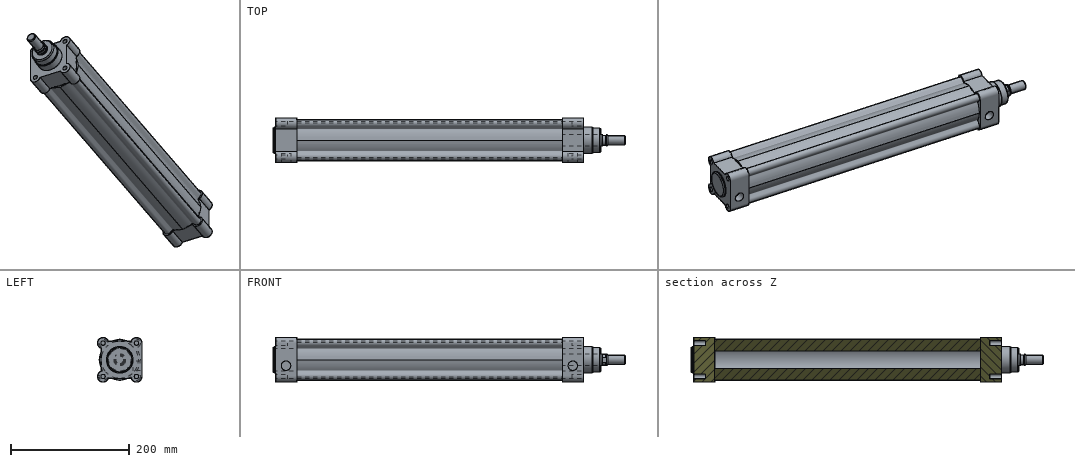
import cadquery as cq
import math

barrel_length = 449.0
cap_length = 36.0
cap_width = 75.5
screw_pitch = 56.5
half_pitch = screw_pitch / 2

lobe_radius = (cap_width - screw_pitch) / 2
waist = 31.5
port_side = cap_width / 2
screw_hole_diameter = 7.5
screw_hole_depth = 20.0
port_diameter = 16.0
port_depth = 15.0
port_shift = -0.3
port_height = -10.0

collar_diameter = 45.0
rear_collar_length = 4.0
rear_collar_chamfer = 2.0
front_collar_length = 15.5
front_collar_chamfer = 1.2
nose_diameter = 42.0
nose_length = 13.5
nose_chamfer = 2.0

bore_diameter = 63.0
barrel_reach = 34.9
ridge_half_width = 6.3
barrel_lobe_radius = barrel_reach - half_pitch
flank_angle = math.radians(40)
groove_fillet = 1.0

rod_diameter = 20.0
neck_start = 32.0
neck_end = 37.0
neck_diameter = 19.0
flats_end = 38.5
flats_width = 17.0
thread_start = 41.0
thread_diameter = 16.0
thread_length = 29.4
thread_chamfer = 1.5
shoulder_chamfer = (rod_diameter - thread_diameter) / 2

rear_face = 0.0
barrel_start = rear_face + cap_length
barrel_end = barrel_start + barrel_length
front_face = barrel_end + cap_length

screw_centres = [(y * half_pitch, z * half_pitch) for y in (-1, 1) for z in (-1, 1)]


def section_plane(x):
    """Plane square to the axis: local x is Y, local y is Z, normal is +X."""
    return cq.Workplane("YZ", origin=(x, 0, 0))


def disc(x, diameter, length):
    return section_plane(x).circle(diameter / 2).extrude(length)


def side_block(x, y_from, y_to, height, length):
    """Rectangular block centred on Z = 0 that starts at station x."""
    return (
        section_plane(x)
        .moveTo((y_from + y_to) / 2, 0)
        .rect(y_to - y_from, height)
        .extrude(length)
    )


def cap_block(x):
    """Waisted block with four corner lobes, full width on the -Y side, where the air port enters."""
    core = side_block(x, -waist, waist, 2 * waist, cap_length)
    port_pad = side_block(x, -port_side, -half_pitch, screw_pitch, cap_length)
    lobes = section_plane(x).pushPoints(screw_centres).circle(lobe_radius).extrude(cap_length)
    port = (
        cq.Workplane("XZ", origin=(x + cap_length / 2 + port_shift, -port_side, port_height))
        .circle(port_diameter / 2)
        .extrude(-port_depth)
    )
    return core.union(lobes).union(port_pad).cut(port)


def screw_holes(x, depth):
    """Four blind holes from the cap face at x; a negative depth runs toward -X."""
    return section_plane(x).pushPoints(screw_centres).circle(screw_hole_diameter / 2).extrude(depth)


def make_rear_cap():
    collar = disc(rear_face, collar_diameter, -rear_collar_length)
    collar = collar.faces("<X").chamfer(rear_collar_chamfer)
    holes = screw_holes(rear_face, screw_hole_depth)
    return cap_block(rear_face).cut(holes).union(collar)


def make_front_cap():
    collar = disc(front_face, collar_diameter, front_collar_length)
    collar = collar.faces(">X").chamfer(front_collar_chamfer)
    nose = disc(front_face + front_collar_length, nose_diameter, nose_length)
    nose = nose.faces(">X").chamfer(nose_chamfer)
    rod_hole = disc(barrel_end, rod_diameter, cap_length + front_collar_length + nose_length)
    holes = screw_holes(front_face, -screw_hole_depth)
    return cap_block(barrel_end).cut(holes).union(collar).union(nose).cut(rod_hole)


def barrel_ridge(tube_radius, ridge_angle):
    """Shallow gable on the +Z side whose two slopes are tangent to the round tube."""
    tangent_height = tube_radius * math.cos(ridge_angle)
    return (
        section_plane(barrel_start)
        .moveTo(0, 0)
        .lineTo(ridge_half_width, tangent_height)
        .lineTo(0, barrel_reach)
        .lineTo(-ridge_half_width, tangent_height)
        .close()
        .extrude(barrel_length)
    )


def barrel_lobe():
    """Round lobe in the +Y +Z corner with two flat flanks, tangent to the arc, running inward."""
    flank_far = half_pitch + barrel_lobe_radius * math.cos(flank_angle)
    flank_near = half_pitch - barrel_lobe_radius * math.sin(flank_angle)
    tip = half_pitch + barrel_lobe_radius * math.sqrt(0.5)
    root = flank_far - flank_near * math.tan(flank_angle)
    return (
        section_plane(barrel_start)
        .moveTo(0, 0)
        .lineTo(root, 0)
        .lineTo(flank_far, flank_near)
        .threePointArc((tip, tip), (flank_near, flank_far))
        .lineTo(0, root)
        .close()
        .extrude(barrel_length)
    )


def fillet_grooves(barrel, tube_radius):
    """Round the eight inner corners where the lobe flanks meet the round tube."""
    tolerance = 0.01

    def is_groove(edge):
        centre = edge.Center()
        on_tube = abs(math.hypot(centre.y, centre.z) - tube_radius) < tolerance
        return on_tube and min(abs(centre.y), abs(centre.z)) > ridge_half_width + tolerance

    return barrel.edges("|X").filter(is_groove).fillet(groove_fillet)


def make_barrel():
    """Round tube with a ridge on each side and a lobe at each corner."""
    ridge_angle = math.asin(2 * ridge_half_width / barrel_reach) / 2
    tube_radius = barrel_reach * math.cos(ridge_angle)
    barrel = disc(barrel_start, 2 * tube_radius, barrel_length)
    quarter = barrel_lobe().union(barrel_ridge(tube_radius, ridge_angle))
    for turn in range(4):
        barrel = barrel.union(quarter.rotate((0, 0, 0), (1, 0, 0), 90 * turn))
    barrel = fillet_grooves(barrel, tube_radius)
    return barrel.cut(disc(barrel_start, bore_diameter, barrel_length))


def make_rod():
    shank = disc(barrel_end, rod_diameter, cap_length + neck_start)
    neck = disc(front_face + neck_start, neck_diameter, neck_end - neck_start)
    shoulder = disc(front_face + neck_end, rod_diameter, thread_start - neck_end)
    shoulder = shoulder.faces(">X").chamfer(shoulder_chamfer)
    thread = disc(front_face + thread_start, thread_diameter, thread_length)
    thread = thread.faces(">X").chamfer(thread_chamfer)
    rod = shank.union(neck).union(shoulder).union(thread)

    flat_inner = flats_width / 2
    flats_length = flats_end - neck_start
    for y_from, y_to in ((-rod_diameter, -flat_inner), (flat_inner, rod_diameter)):
        rod = rod.cut(side_block(front_face + neck_start, y_from, y_to, rod_diameter, flats_length))
    return rod


rear_cap = make_rear_cap()
front_cap = make_front_cap()
barrel = make_barrel()
rod = make_rod()

result = cq.Compound.makeCompound([rear_cap.val(), front_cap.val(), barrel.val(), rod.val()])